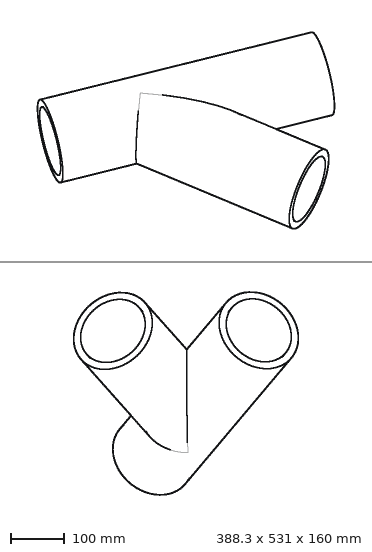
import cadquery as cq
import math

main_length = 531.0
outer_diameter = 160.0
wall = 14.5
bore_diameter = outer_diameter - 2 * wall

branch_angle = math.radians(45)
branch_length = 356.0
branch_start = cq.Vector(0, -90.0, 0)
branch_direction = cq.Vector(math.sin(branch_angle), math.cos(branch_angle), 0)

main_start = cq.Vector(0, -main_length / 2, 0)
main_direction = cq.Vector(0, 1, 0)


def wye(diameter):
    """Solid main and branch cylinders of one diameter, joined together."""
    radius = diameter / 2
    main = cq.Solid.makeCylinder(radius, main_length, main_start, main_direction)
    branch = cq.Solid.makeCylinder(radius, branch_length, branch_start, branch_direction)
    return cq.Workplane(main).union(cq.Workplane(branch))


result = wye(outer_diameter).cut(wye(bore_diameter))